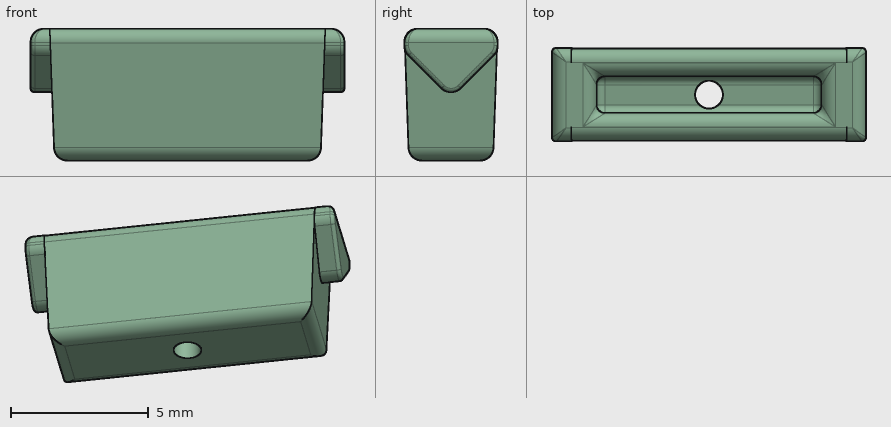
import cadquery as cq
import math

length = 11.4
width = 3.4
height = 4.8
edge_radius = 0.5

body_length = 10.0
draft_angle = 2.0

lug_side_height = 0.82
lug_end_radius = 0.15

wall_thickness = 1.0
opening_gap = 0.03
cavity_length = 8.16
cavity_width = width - 4 * edge_radius - 2 * opening_gap
cavity_depth = height - wall_thickness
cavity_corner_radius = 0.3
drain_diameter = 1.0

selection_margin = 0.02


def make_body():
    """Tapered block, rounded around the base and along both long top edges."""
    body = (
        cq.Workplane("XY")
        .rect(body_length, width)
        .extrude(-height, taper=draft_angle)
    )
    body = body.faces("<Z").edges().fillet(edge_radius)
    return body.faces(">Z").edges("|X").fillet(edge_radius)


def make_lugs():
    """Pair of V-section lugs that stand out from the ends of the body."""
    half_width = width / 2
    apex_depth = lug_side_height + half_width
    bar = (
        cq.Workplane("YZ")
        .polyline([
            (-half_width, 0),
            (half_width, 0),
            (half_width, -lug_side_height),
            (0, -apex_depth),
            (-half_width, -lug_side_height),
        ])
        .close()
        .extrude(length / 2, both=True)
    )
    bar = bar.edges("|X").edges("not >Z").fillet(edge_radius)
    bar = bar.faces(">Z").edges().fillet(edge_radius)
    bar = bar.faces("<X or >X").edges("not >Z").fillet(lug_end_radius)
    body_taper = height * math.tan(math.radians(draft_angle))
    top_half = body_length / 2
    base_half = top_half - body_taper
    middle = (
        cq.Workplane("XZ")
        .polyline([(-top_half, 0), (top_half, 0), (base_half, -height), (-base_half, -height)])
        .close()
        .extrude(width, both=True)
    )
    return bar.cut(middle)


def edges_in_cavity(top, bottom):
    """Select the edges lying inside the cavity opening between two heights."""
    half_length = cavity_length / 2 + edge_radius + selection_margin
    half_width = cavity_width / 2 + edge_radius + selection_margin
    return cq.selectors.BoxSelector(
        (-half_length, -half_width, bottom),
        (half_length, half_width, top),
        boundingbox=True,
    )


def cut_cavity(part):
    """Hollow the part with a rolled lip, rounded corners and a rounded floor."""
    pocket = cq.Workplane("XY").rect(cavity_length, cavity_width).extrude(-cavity_depth)
    part = part.cut(pocket)
    part = part.edges(edges_in_cavity(selection_margin, -selection_margin)).fillet(edge_radius)
    part = part.edges(edges_in_cavity(selection_margin, -height)).edges("|Z").fillet(cavity_corner_radius)
    floor_edges = edges_in_cavity(selection_margin - cavity_depth, -selection_margin - cavity_depth)
    return part.edges(floor_edges).fillet(cavity_corner_radius)


def cut_drain(part):
    """Drill the drain hole through the middle of the floor."""
    drain = cq.Workplane("XY").circle(drain_diameter / 2).extrude(-height)
    return part.cut(drain)


body_with_lugs = make_body().union(make_lugs())
result = cut_drain(cut_cavity(body_with_lugs))